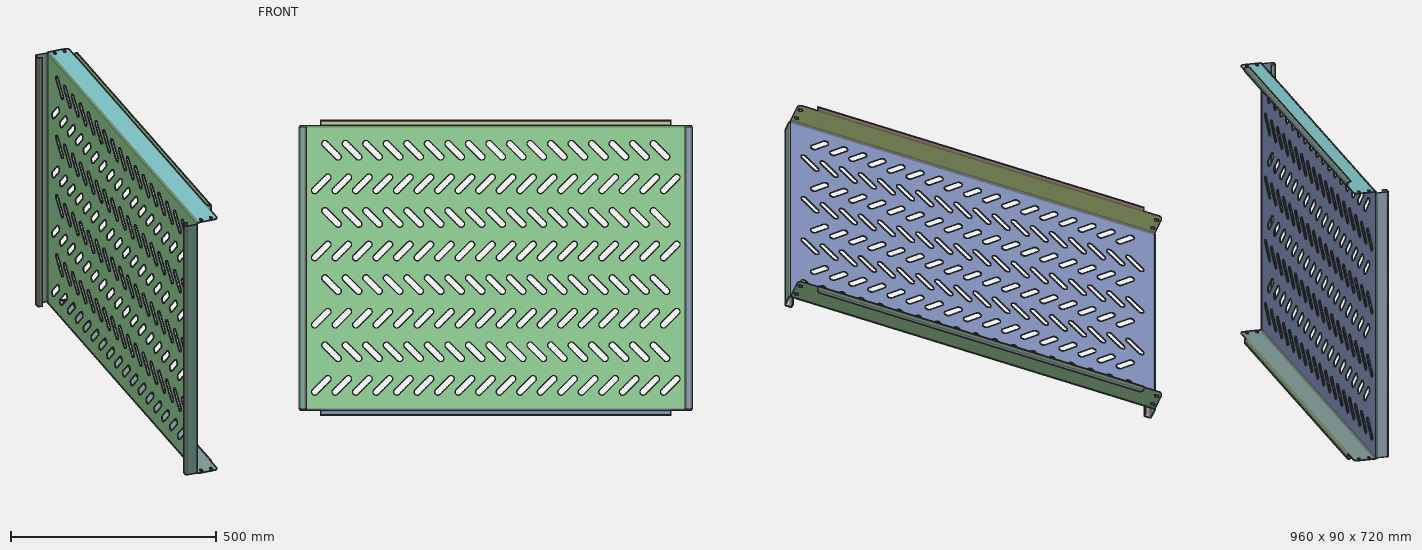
import cadquery as cq

LENGTH = 960.0
DEPTH = 90.0
HEIGHT = 720.0
SHEET = 2.0
BEND = 4.0

CHANNEL_HEIGHT = 687.0
CHANNEL_DEPTH = 31.0
FOOT_WIDTH = 19.0
FOOT_LIP = 12.0

FLANGE_LENGTH = 954.0
FLANGE_CORNER = 10.0
HOOK_LENGTH = 853.0
HOOK_LIP = 12.0
HOOK_LIP_CHAMFER = 6.0

MOUNT_LENGTH = 12.0
MOUNT_WIDTH = 6.0
MOUNT_INSET = 11.0
MOUNT_DISTANCES = (14.0, 40.0)

SLOT_LENGTH = 60.0
SLOT_WIDTH = 15.0
SLOT_ANGLE = 45
LONG_ROW = 18
LONG_ROW_SPAN = 851.0
SLOT_PITCH = LONG_ROW_SPAN / (LONG_ROW - 1)
ROW_COUNT = 8
ROWS_SPAN = 573.0
ROW_PITCH = ROWS_SPAN / (ROW_COUNT - 1)

FOOT_Y = -DEPTH / 2
BACK_Y = DEPTH / 2
PANEL_Y = FOOT_Y + CHANNEL_DEPTH
FLANGE_EDGE_Y = BACK_Y - BEND
FLANGE_Z = CHANNEL_HEIGHT / 2 + BEND
HALF = SHEET / 2
OVERLAP = BEND


def bent_sheet(middle_points, width_direction, width):
    """Sheet of the given width that follows its middle line, with a bend at each corner."""
    points = [cq.Vector(*point) for point in middle_points]
    sharp = cq.Wire.makePolygon(points)
    corners = [vertex for vertex in sharp.Vertices() if vertex.Center() not in (points[0], points[-1])]
    middle_line = sharp.fillet(BEND - HALF, corners)
    start = cq.Plane(origin=points[0], xDir=width_direction, normal=points[1] - points[0])
    return cq.Workplane(start).rect(width, SHEET).sweep(cq.Workplane(middle_line))


def panel_with_flanges():
    """Panel with the top and bottom edges bent back into flanges."""
    front = PANEL_Y + HALF
    top = FLANGE_Z - HALF
    sheet = bent_sheet(
        [(0, FLANGE_EDGE_Y, top), (0, front, top), (0, front, -top), (0, FLANGE_EDGE_Y, -top)],
        (1, 0, 0), FLANGE_LENGTH,
    )
    free_corners = cq.selectors.BoxSelector(
        (-LENGTH, FLANGE_EDGE_Y - HALF, -HEIGHT), (LENGTH, BACK_Y, HEIGHT)
    )
    return sheet.edges("|Z").edges(free_corners).fillet(FLANGE_CORNER)


def side_channel():
    """Left channel: wall, foot and return lip, joined to the panel's left edge."""
    joint = -FLANGE_LENGTH / 2 + OVERLAP
    wall = -LENGTH / 2 + HALF
    lip = -LENGTH / 2 + FOOT_WIDTH - HALF
    foot = FOOT_Y + HALF
    panel = PANEL_Y + HALF
    return bent_sheet(
        [(joint, panel, 0), (wall, panel, 0), (wall, foot, 0), (lip, foot, 0), (lip, FOOT_Y + FOOT_LIP, 0)],
        (0, 0, 1), CHANNEL_HEIGHT,
    )


def hook():
    """Hook on the back edge of the top flange, with a bevelled lip."""
    flange = FLANGE_Z - HALF
    back = BACK_Y - HALF
    top = HEIGHT / 2 - HALF
    sheet = bent_sheet(
        [(0, FLANGE_EDGE_Y - OVERLAP, flange), (0, back, flange), (0, back, top), (0, BACK_Y - HOOK_LIP, top)],
        (1, 0, 0), HOOK_LENGTH,
    )
    lip_corners = cq.selectors.BoxSelector(
        (-LENGTH, BACK_Y - HOOK_LIP - HALF, top - SHEET), (LENGTH, BACK_Y - HOOK_LIP + HALF, HEIGHT)
    )
    return sheet.edges("|Z").edges(lip_corners).chamfer(HOOK_LIP_CHAMFER)


def perforation():
    """Rows of slanted slots through the panel, leaning the other way in each next row."""
    cutters = cq.Workplane("XZ", origin=(0, PANEL_Y + SHEET + HALF, 0))
    for row in range(ROW_COUNT):
        is_long = row % 2 == 0
        count = LONG_ROW if is_long else LONG_ROW - 1
        angle = SLOT_ANGLE if is_long else -SLOT_ANGLE
        height = (row - (ROW_COUNT - 1) / 2) * ROW_PITCH
        centers = [((column - (count - 1) / 2) * SLOT_PITCH, height) for column in range(count)]
        cutters = cutters.pushPoints(centers).slot2D(SLOT_LENGTH, SLOT_WIDTH, angle)
    return cutters.extrude(2 * SHEET)


def mounting_slots():
    """Slots through both flanges near their ends."""
    side = FLANGE_LENGTH / 2 - MOUNT_INSET
    centers = [(x, FLANGE_EDGE_Y - distance) for x in (-side, side) for distance in MOUNT_DISTANCES]
    return (
        cq.Workplane("XY").pushPoints(centers).slot2D(MOUNT_LENGTH, MOUNT_WIDTH)
        .extrude(HEIGHT / 2, both=True)
    )


left_channel = side_channel()
top_hook = hook()

result = (
    panel_with_flanges()
    .union(left_channel).union(left_channel.mirror("YZ"))
    .union(top_hook).union(top_hook.mirror("XY"))
    .cut(perforation())
    .cut(mounting_slots())
)